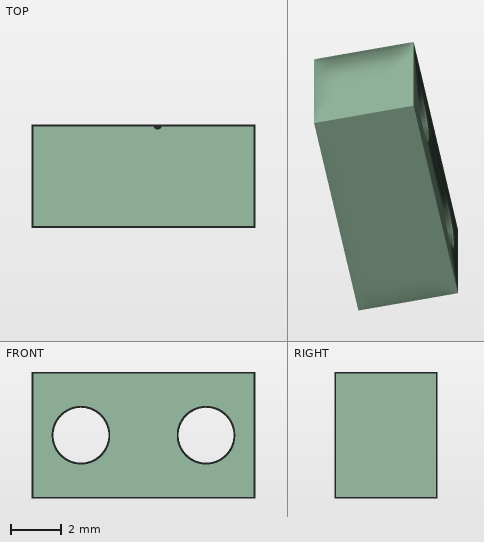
import cadquery as cq
import math

LENGTH = 8.89
DEPTH = 4.06
HEIGHT = 5.0
BACK_Y = DEPTH / 2
TOP_Z = HEIGHT / 2

HOLE_DIAMETER = 2.26
HOLE_SPACING = 5.0

NOTCH_X = 0.565
NOTCH_RADIUS = 0.127
NOTCH_HEIGHT = 0.3
NOTCH_FLOOR_ANGLE = 38.0


def make_block():
    return cq.Workplane("XY").box(LENGTH, DEPTH, HEIGHT)


def make_holes():
    return (
        cq.Workplane("XZ", origin=(0, BACK_Y, 0))
        .rarray(HOLE_SPACING, 1, 2, 1)
        .circle(HOLE_DIAMETER / 2)
        .extrude(DEPTH)
    )


def make_notch():
    """Upright cylinder on the back face, cut off below by the sloping floor."""
    floor_drop = NOTCH_RADIUS * math.tan(math.radians(NOTCH_FLOOR_ANGLE))
    cylinder = (
        cq.Workplane("XY", origin=(NOTCH_X, BACK_Y, TOP_Z))
        .circle(NOTCH_RADIUS)
        .extrude(-NOTCH_HEIGHT - floor_drop)
    )
    space_above_floor = (
        cq.Workplane("YZ", origin=(NOTCH_X, BACK_Y, TOP_Z - NOTCH_HEIGHT))
        .moveTo(-NOTCH_RADIUS, -floor_drop)
        .lineTo(NOTCH_RADIUS, floor_drop)
        .lineTo(NOTCH_RADIUS, NOTCH_HEIGHT)
        .lineTo(-NOTCH_RADIUS, NOTCH_HEIGHT)
        .close()
        .extrude(NOTCH_RADIUS, both=True)
    )
    return cylinder.intersect(space_above_floor)


result = make_block().cut(make_holes()).cut(make_notch())